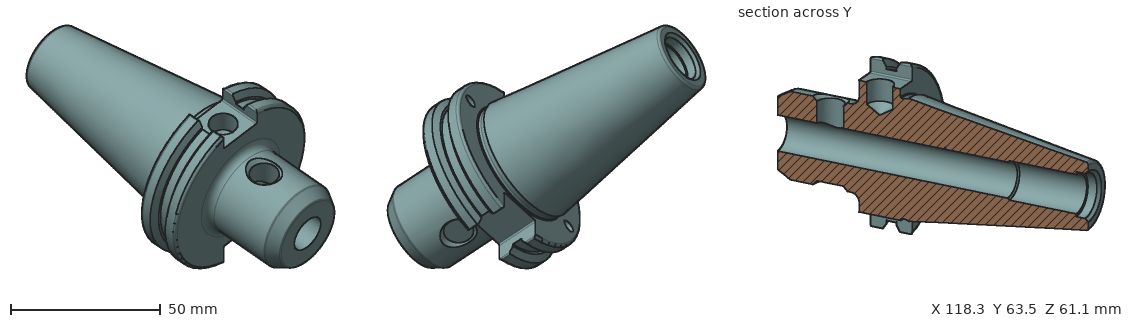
import cadquery as cq
import math

tail_x = -68.25
nose_x = 50.0

gauge_radius = 44.45 / 2
taper_slope = 7 / 24 / 2
tail_radius = gauge_radius + tail_x * taper_slope
tail_fillet = 1.0
relief_radius = 21.75
relief_start = 1.75
relief_corner = 0.35

flange_start = 3.2
flange_end = 19.1
flange_radius = 63.5 / 2
flange_fillet = 1.0
groove_center = (flange_start + flange_end) / 2
groove_floor_radius = 28.4
groove_floor_width = 3.8
groove_mouth_width = 7.0
groove_wall_radius = 29.3

nose_radius = 16.0
nose_fillet = 3.0
nose_cone_start = 45.2
nose_cone_angle = 30.0
nose_edge_fillet = 0.6
nose_shoulder_fillet = 0.8

thread_radius = 8.0
thread_chamfer_radius = 9.15
thread_depth = 4.5
core_radius = 7.0
core_depth = 30.0
tool_bore_radius = 6.4
thread_chamfer = thread_chamfer_radius - thread_radius
core_step = core_radius - tool_bore_radius

slot_width = 16.1
slot_floor_fillet = 0.5
slot_mouth_fillet = 0.5
upper_slot_floor = 25.0
lower_slot_floor = 22.5

slot_hole_radius = 4.9
slot_hole_depth = 8.0
drill_point_angle = 118.0

screw_x = 30.0
screw_radius = 5.0
screw_sink_radius = 6.6

coolant_radius = 1.85
coolant_circle_radius = 27.0
coolant_position_angle = 20.5
coolant_tilt = 37.0
coolant_depth = 2.4


def revolved(outline):
    """Solid of revolution about X from a closed outline in the XY half plane."""
    return outline.close().revolve(360, (0, 0, 0), (1, 0, 0))


def drill_tool(radius, depth, start, direction):
    """Pointed drill: a cylinder of the given depth followed by a conical tip."""
    tip_length = radius / math.tan(math.radians(drill_point_angle / 2))
    cylinder = cq.Solid.makeCylinder(radius, depth, start, direction)
    tip = cq.Solid.makeCone(radius, 0, tip_length, start + direction * depth, direction)
    return cylinder.fuse(tip)


def taper_shank():
    shank = revolved(
        cq.Workplane("XY")
        .moveTo(tail_x, 0)
        .lineTo(tail_x, tail_radius)
        .lineTo(0, gauge_radius)
        .lineTo(relief_start, relief_radius)
        .lineTo(flange_start - relief_corner, relief_radius)
        .lineTo(flange_start, relief_radius + relief_corner)
        .lineTo(flange_start, 0)
    )
    return shank.faces("<X").edges().fillet(tail_fillet)


def flange():
    disc = (
        cq.Workplane("YZ", origin=(flange_start, 0, 0))
        .circle(flange_radius)
        .extrude(flange_end - flange_start)
        .edges()
        .fillet(flange_fillet)
    )
    half_floor = groove_floor_width / 2
    half_mouth = groove_mouth_width / 2
    groove = revolved(
        cq.Workplane("XY")
        .moveTo(groove_center - half_floor, groove_floor_radius)
        .lineTo(groove_center - half_floor, groove_wall_radius)
        .lineTo(groove_center - half_mouth, flange_radius)
        .lineTo(groove_center + half_mouth, flange_radius)
        .lineTo(groove_center + half_floor, groove_wall_radius)
        .lineTo(groove_center + half_floor, groove_floor_radius)
    )
    return disc.cut(groove)


def nose():
    tip_radius = nose_radius - (nose_x - nose_cone_start) * math.tan(math.radians(nose_cone_angle))
    fillet_middle = nose_fillet * (1 - math.sqrt(0.5))
    body = revolved(
        cq.Workplane("XY")
        .moveTo(flange_end, 0)
        .lineTo(flange_end, nose_radius + nose_fillet)
        .threePointArc(
            (flange_end + fillet_middle, nose_radius + fillet_middle),
            (flange_end + nose_fillet, nose_radius),
        )
        .lineTo(nose_cone_start, nose_radius)
        .lineTo(nose_x, tip_radius)
        .lineTo(nose_x, 0)
    )
    body = body.faces(">X").edges().fillet(nose_edge_fillet)
    shoulder = cq.selectors.NearestToPointSelector((nose_cone_start, 0, 0))
    return body.edges(shoulder).fillet(nose_shoulder_fillet)


def central_bore():
    return revolved(
        cq.Workplane("XY")
        .moveTo(tail_x, 0)
        .lineTo(tail_x, thread_chamfer_radius)
        .lineTo(tail_x + thread_chamfer, thread_radius)
        .lineTo(tail_x + thread_depth, thread_radius)
        .lineTo(tail_x + thread_depth, core_radius)
        .lineTo(tail_x + core_depth, core_radius)
        .lineTo(tail_x + core_depth + core_step, tool_bore_radius)
        .lineTo(nose_x, tool_bore_radius)
        .lineTo(nose_x, 0)
    )


def drive_slot(floor):
    """Slot across the flange on the +Z side, with rounded floor corners and rounded mouth edges."""
    half_width = slot_width / 2
    length = flange_end - flange_start
    start = (flange_start, 0, 0)
    slot = (
        cq.Workplane("YZ", origin=start)
        .center(0, floor + flange_radius / 2)
        .rect(slot_width, flange_radius)
        .extrude(length)
        .edges("|X and <Z")
        .fillet(slot_floor_fillet)
    )
    center_y = half_width + slot_mouth_fillet
    center_distance = flange_radius - slot_mouth_fillet
    center_z = math.sqrt(center_distance**2 - center_y**2)
    rim_y = center_y * flange_radius / center_distance
    rim_z = center_z * flange_radius / center_distance
    mid_angle = (math.pi + math.atan2(center_z, center_y)) / 2
    mid_y = center_y + slot_mouth_fillet * math.cos(mid_angle)
    mid_z = center_z + slot_mouth_fillet * math.sin(mid_angle)
    for side in (1, -1):
        mouth = (
            cq.Workplane("YZ", origin=start)
            .moveTo(side * half_width, center_z)
            .threePointArc((side * mid_y, mid_z), (side * rim_y, rim_z))
            .lineTo(side * rim_y, flange_radius)
            .lineTo(side * half_width, flange_radius)
            .close()
            .extrude(length)
        )
        slot = slot.union(mouth)
    return slot


def slot_hole():
    return drill_tool(
        slot_hole_radius,
        slot_hole_depth,
        cq.Vector(groove_center, 0, upper_slot_floor),
        cq.Vector(0, 0, -1),
    )


def screw_sink(side):
    """45 degree countersink into the nose from the +Z (side = 1) or -Z (side = -1) side."""
    return cq.Solid.makeCone(
        screw_sink_radius,
        screw_radius,
        screw_sink_radius - screw_radius,
        cq.Vector(screw_x, 0, side * nose_radius),
        cq.Vector(0, 0, -side),
    )


def screw_hole():
    return cq.Solid.makeCylinder(
        screw_radius, nose_radius, cq.Vector(screw_x, 0, 0), cq.Vector(0, 0, 1)
    )


def coolant_hole(position_angle):
    """Hole into the rear flange face, slanted toward the axis."""
    angle = math.radians(position_angle)
    tilt = math.radians(coolant_tilt)
    outward = cq.Vector(0, math.cos(angle), math.sin(angle))
    direction = cq.Vector(math.cos(tilt), 0, 0) - outward * math.sin(tilt)
    entry = cq.Vector(flange_start, 0, 0) + outward * coolant_circle_radius
    lead = coolant_radius * math.tan(tilt)
    return drill_tool(coolant_radius, coolant_depth + lead, entry - direction * lead, direction)


result = taper_shank().union(flange()).union(nose())
result = result.cut(central_bore())
result = result.cut(drive_slot(upper_slot_floor))
result = result.cut(drive_slot(lower_slot_floor).mirror("XY"))
result = result.cut(slot_hole())
result = result.cut(screw_hole())
for sink_side in (1, -1):
    result = result.cut(screw_sink(sink_side))
for turn in (0, 180):
    result = result.cut(coolant_hole(coolant_position_angle + turn))